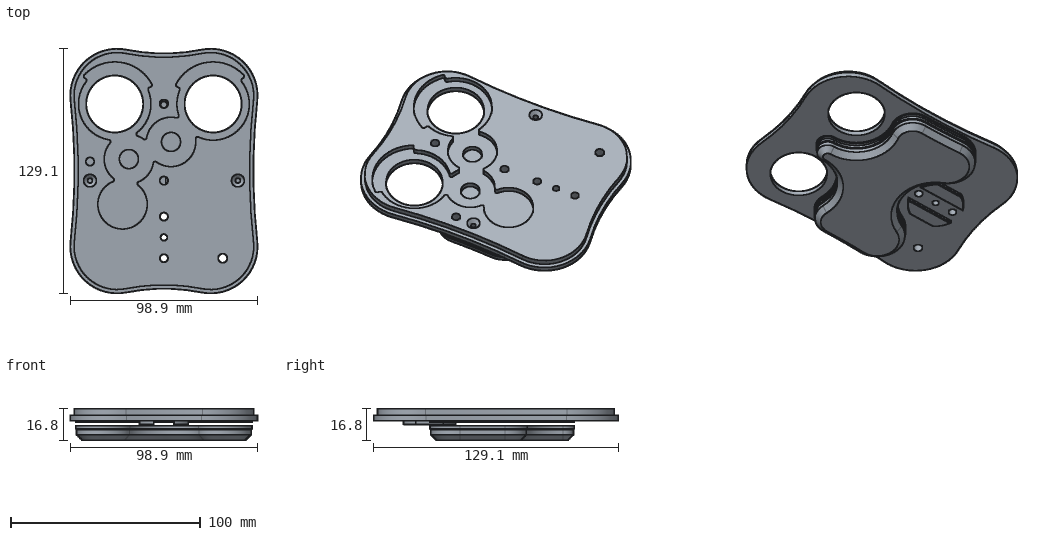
import cadquery as cq
import math

RIM_DEPTH = 3.4
PLATE_DEPTH = 6.5
PAD_DEPTH = 7.2
RAIL_DEPTH = 8.5
COVER_TOP_DEPTH = 8.9
COVER_BOTTOM_DEPTH = 16.8
POCKET_DEPTH = 3.1
SPINDLE_RECESS_DEPTH = 6.1

PLATE_LENGTH = 129.1
PLATE_WIDTH = 98.9
CORNER_RADIUS = 24.8
WAIST_X = 47.3
WAIST_Y = 62.1
RIM_WIDTH = 2.1

EYE_X = 26.0
EYE_Y = 35.4
EYE_RADIUS = 15.0
EYE_POCKET_RADIUS = 19.1
EYE_SLOT_RADIUS = 22.2
EYE_SLOT_INNER_ANGLE = 25.5
EYE_SLOT_OUTER_ANGLE = 139.0
GEAR_POCKET_RADIUS = 13.0
GEAR_CENTERS = [(3.7, 15.4), (-18.5, 6.3)]
WHEEL_CENTER = (-21.8, -17.5)
SPINDLE_RECESS_RADIUS = 5.0
POCKET_CORNER_RADIUS = 1.0

DIAL_Y = -35.0
NOSE_HOLE = (0.0, EYE_Y, 2.2)
SIDE_HOLE = (-39.0, 5.0, 2.2)
LOWER_HOLES = [(0.0, -24.0, 2.1), (0.0, DIAL_Y, 1.7), (0.0, -46.0, 2.1), (31.0, -46.0, 2.3)]
SCREW_X = 39.0
SCREW_ROW_Y = -5.0
SCREW_RADIUS = 1.3
SCREW_HEAD_RADIUS = 3.4
FLAT_HOLE_RADIUS = 2.2
FLAT_OFFSET = 1.0

RAIL_DISC_RADIUS = 14.9
RAIL_INNER_X = 5.3
RAIL_OUTER_X = 12.9
RAIL_CHAMFER = 0.4

COVER_INSET = 1.3
ARCH_RADIUS = 20.0
LOBE_RADIUS = 15.0
SHOULDER_RADIUS = 11.6
EYE_CLEARANCE_RADIUS = 20.0
COVER_BAND_HEIGHT = 1.8
COVER_STEP = 0.4
COVER_CHAMFER = 3.1
COVER_SCREW_RADIUS = 1.7
COVER_SCREW_HEAD_RADIUS = 2.7
COVER_SCREW_DROP = 0.4
COVER_SCREW_DEPTH = 3.9

CORNER_X = PLATE_WIDTH / 2 - CORNER_RADIUS
CORNER_Y = PLATE_LENGTH / 2 - CORNER_RADIUS


def hollow_radius(waist, along, across):
    """Radius of a hollow side with its middle at `waist` that touches two corner circles."""
    gap = waist - along
    return (gap**2 + across**2 - CORNER_RADIUS**2) / (2 * (CORNER_RADIUS - gap))


SIDE_RADIUS = hollow_radius(WAIST_X, CORNER_X, CORNER_Y)
END_RADIUS = hollow_radius(WAIST_Y, CORNER_Y, CORNER_X)
SIDE_CENTER_X = WAIST_X + SIDE_RADIUS
END_CENTER_Y = WAIST_Y + END_RADIUS


def touching_center(first, second, radius):
    """Centre of a circle that touches two (x, y, radius) circles, to the left going from first to second."""
    x1, y1, r1 = first
    x2, y2, r2 = second
    span = math.hypot(x2 - x1, y2 - y1)
    along = (span**2 + (r1 + radius) ** 2 - (r2 + radius) ** 2) / (2 * span)
    off = math.sqrt((r1 + radius) ** 2 - along**2)
    ux, uy = (x2 - x1) / span, (y2 - y1) / span
    return x1 + along * ux - off * uy, y1 + along * uy + off * ux


def wavy_face(circles, inset, depth):
    """Counterclockwise outline through touching circles, hollow and round in turn, at a depth.

    The first circle is hollow. The outline lies `inset` inside the circles' own outline.
    """
    count = len(circles)

    def heading(start, end):
        (x1, y1, _), (x2, y2, _) = circles[start % count], circles[end % count]
        return math.atan2(y2 - y1, x2 - x1)

    def point(index, angle):
        x, y, radius = circles[index]
        size = radius + inset if index % 2 == 0 else radius - inset
        return x + size * math.cos(angle), y + size * math.sin(angle)

    outline = cq.Workplane("XY", origin=(0, 0, -depth)).moveTo(*point(0, heading(0, -1)))
    for index in range(count):
        start = heading(index, index - 1)
        end = heading(index, index + 1)
        turn = -1 if index % 2 == 0 else 1
        sweep = turn * ((turn * (end - start)) % (2 * math.pi))
        outline = outline.threePointArc(point(index, start + sweep / 2), point(index, end))
    return outline.close()


def plate_circles():
    right = [
        (CORNER_X, -CORNER_Y, CORNER_RADIUS),
        (SIDE_CENTER_X, 0, SIDE_RADIUS),
        (CORNER_X, CORNER_Y, CORNER_RADIUS),
    ]
    left = [(-x, y, radius) for x, y, radius in reversed(right)]
    return [(0, -END_CENTER_Y, END_RADIUS), *right, (0, END_CENTER_Y, END_RADIUS), *left]


def cover_circles():
    arch = (0, DIAL_Y, ARCH_RADIUS)
    waist = (SIDE_CENTER_X, 0, SIDE_RADIUS + COVER_INSET)
    eye = (EYE_X, EYE_Y, EYE_CLEARANCE_RADIUS)
    nose = (0, EYE_Y, EYE_X - EYE_CLEARANCE_RADIUS)
    lobe = (*touching_center(arch, waist, LOBE_RADIUS), LOBE_RADIUS)
    shoulder = (*touching_center(waist, eye, SHOULDER_RADIUS), SHOULDER_RADIUS)
    right = [lobe, waist, shoulder, eye]
    left = [(-x, y, radius) for x, y, radius in reversed(right)]
    return [arch, *right, nose, *left]


def disc(x, y, radius, top_depth, bottom_depth):
    base = cq.Workplane("XY", origin=(x, y, -bottom_depth))
    return base.circle(radius).extrude(bottom_depth - top_depth)


def cone(x, y, top_radius, bottom_radius, top_depth, bottom_depth):
    height = bottom_depth - top_depth
    base = cq.Vector(x, y, -bottom_depth)
    return cq.Workplane(cq.Solid.makeCone(bottom_radius, top_radius, height, base))


def eye_slot(side):
    """Sector of the pocket above the eye on side +1 (+X) or -1 (-X)."""

    def edge_point(angle):
        turn = math.radians(angle)
        return -side * EYE_SLOT_RADIUS * math.cos(turn), EYE_SLOT_RADIUS * math.sin(turn)

    middle_angle = (EYE_SLOT_INNER_ANGLE + EYE_SLOT_OUTER_ANGLE) / 2
    return (
        cq.Workplane("XY", origin=(side * EYE_X, EYE_Y, -POCKET_DEPTH))
        .lineTo(*edge_point(EYE_SLOT_INNER_ANGLE))
        .threePointArc(edge_point(middle_angle), edge_point(EYE_SLOT_OUTER_ANGLE))
        .close()
        .extrude(POCKET_DEPTH)
    )


def gear_pocket():
    pocket = disc(*WHEEL_CENTER, GEAR_POCKET_RADIUS, 0, POCKET_DEPTH)
    for x, y in GEAR_CENTERS:
        pocket = pocket.union(disc(x, y, GEAR_POCKET_RADIUS, 0, POCKET_DEPTH))
    for side in (-1, 1):
        pocket = pocket.union(disc(side * EYE_X, EYE_Y, EYE_POCKET_RADIUS, 0, POCKET_DEPTH))
        pocket = pocket.union(eye_slot(side))
    return pocket.edges("|Z").fillet(POCKET_CORNER_RADIUS)


def rail(side):
    length = 2 * RAIL_DISC_RADIUS
    middle_x = side * (RAIL_INNER_X + RAIL_OUTER_X) / 2
    strip = (
        cq.Workplane("XY", origin=(middle_x, DIAL_Y, -RAIL_DEPTH))
        .rect(RAIL_OUTER_X - RAIL_INNER_X, length)
        .extrude(RAIL_DEPTH - PLATE_DEPTH)
    )
    strip = strip.intersect(disc(0, DIAL_Y, RAIL_DISC_RADIUS, PLATE_DEPTH, RAIL_DEPTH))
    return strip.faces("<Z").chamfer(RAIL_CHAMFER)


def flat_hole():
    """Round hole that narrows to a D shape through the pad."""
    full = disc(0, SCREW_ROW_Y, FLAT_HOLE_RADIUS, 0, PAD_DEPTH)
    ledge = (
        cq.Workplane("XY", origin=(FLAT_OFFSET, SCREW_ROW_Y, -PAD_DEPTH))
        .rect(FLAT_HOLE_RADIUS, 2 * FLAT_HOLE_RADIUS)
        .extrude(PAD_DEPTH - PLATE_DEPTH)
        .translate((FLAT_HOLE_RADIUS / 2, 0, 0))
    )
    return full.cut(ledge)


def screw_hole(x):
    head_depth = SCREW_HEAD_RADIUS - SCREW_RADIUS
    head = cone(x, SCREW_ROW_Y, SCREW_HEAD_RADIUS, SCREW_RADIUS, 0, head_depth)
    return head.union(disc(x, SCREW_ROW_Y, SCREW_RADIUS, 0, PAD_DEPTH))


def make_plate():
    plate = wavy_face(plate_circles(), 0, PLATE_DEPTH).extrude(PLATE_DEPTH - RIM_DEPTH)
    plate = plate.union(wavy_face(plate_circles(), RIM_WIDTH, RIM_DEPTH).extrude(RIM_DEPTH))
    plate = plate.union(wavy_face(cover_circles(), 0, PAD_DEPTH).extrude(PAD_DEPTH - PLATE_DEPTH))
    plate = plate.cut(gear_pocket())
    for side in (-1, 1):
        plate = plate.union(rail(side))
        plate = plate.cut(disc(side * EYE_X, EYE_Y, EYE_RADIUS, 0, PLATE_DEPTH))
        plate = plate.cut(screw_hole(side * SCREW_X))
    for x, y in GEAR_CENTERS:
        plate = plate.cut(disc(x, y, SPINDLE_RECESS_RADIUS, 0, SPINDLE_RECESS_DEPTH))
    for x, y, radius in [NOSE_HOLE, SIDE_HOLE, *LOWER_HOLES]:
        plate = plate.cut(disc(x, y, radius, 0, PAD_DEPTH))
    return plate.cut(flat_hole())


def cover_screw_hole():
    y = EYE_Y - COVER_SCREW_DROP
    head_bottom = COVER_TOP_DEPTH + COVER_SCREW_HEAD_RADIUS - COVER_SCREW_RADIUS
    screw_bottom = COVER_TOP_DEPTH + COVER_SCREW_DEPTH
    head = cone(0, y, COVER_SCREW_HEAD_RADIUS, COVER_SCREW_RADIUS, COVER_TOP_DEPTH, head_bottom)
    return head.union(disc(0, y, COVER_SCREW_RADIUS, COVER_TOP_DEPTH, screw_bottom))


def make_cover():
    band_bottom = COVER_TOP_DEPTH + COVER_BAND_HEIGHT + COVER_STEP
    band = wavy_face(cover_circles(), 0, band_bottom).extrude(band_bottom - COVER_TOP_DEPTH)
    band = band.faces("<Z").chamfer(COVER_STEP)
    body = wavy_face(cover_circles(), COVER_STEP, COVER_BOTTOM_DEPTH)
    body = body.extrude(COVER_BOTTOM_DEPTH - band_bottom).faces("<Z").chamfer(COVER_CHAMFER)
    return band.union(body).cut(cover_screw_hole())


plate = make_plate()
cover = make_cover()
result = cq.Compound.makeCompound([plate.val(), cover.val()])